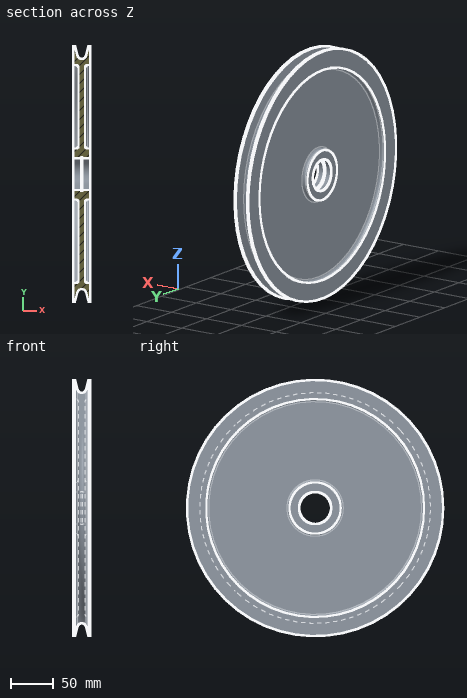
import math

import cadquery as cq

outer_radius = 300.0 / 2
width = 20.0
half_width = width / 2

groove_depth = 15.0
groove_bottom_radius = 5.0
flank_angle = math.radians(15.0)

rim_inner_radius = 255.0 / 2
hub_radius = 60.0 / 2
recess_depth = 6.0
fillet_radius = 3.0

bore_radius = 37.0 / 2
bore_chamfer = 0.5
ring_groove_radius = 39.0 / 2
ring_groove_width = 1.5
ring_groove_center = 0.0


def ring(inner_radius, radius, x_start, length):
    """Annular solid around the X axis."""
    return (
        cq.Workplane("YZ", origin=(x_start, 0, 0))
        .circle(radius)
        .circle(inner_radius)
        .extrude(length)
    )


def rope_groove():
    """Ring of V-shaped section with a round bottom, turned about the X axis."""
    bottom = outer_radius - groove_depth
    tangent_x = groove_bottom_radius * math.cos(flank_angle)
    tangent_r = bottom + groove_bottom_radius * (1 - math.sin(flank_angle))
    mouth_x = tangent_x + (outer_radius - tangent_r) * math.tan(flank_angle)
    section = (
        cq.Workplane("XY")
        .moveTo(-mouth_x, outer_radius)
        .lineTo(-tangent_x, tangent_r)
        .threePointArc((0, bottom), (tangent_x, tangent_r))
        .lineTo(mouth_x, outer_radius)
        .close()
    )
    return section.revolve(360, (0, 0, 0), (1, 0, 0))


def web_recess(x_start, floor_selector):
    """Annular pocket with rounded corners where its walls meet the web."""
    pocket = ring(hub_radius, rim_inner_radius, x_start, recess_depth)
    return pocket.faces(floor_selector).edges().fillet(fillet_radius)


def ring_groove():
    """Shallow internal groove at the middle of the bore."""
    x_start = ring_groove_center - ring_groove_width / 2
    return ring(bore_radius, ring_groove_radius, x_start, ring_groove_width)


def wheel_blank():
    """Plain disc with its bore chamfered at both mouths."""
    disc = ring(bore_radius, outer_radius, -half_width, width)
    bore_mouths = disc.faces("|X").edges(cq.selectors.RadiusNthSelector(0))
    return bore_mouths.chamfer(bore_chamfer)


result = (
    wheel_blank()
    .cut(rope_groove())
    .cut(web_recess(-half_width, ">X"))
    .cut(web_recess(half_width - recess_depth, "<X"))
    .cut(ring_groove())
)